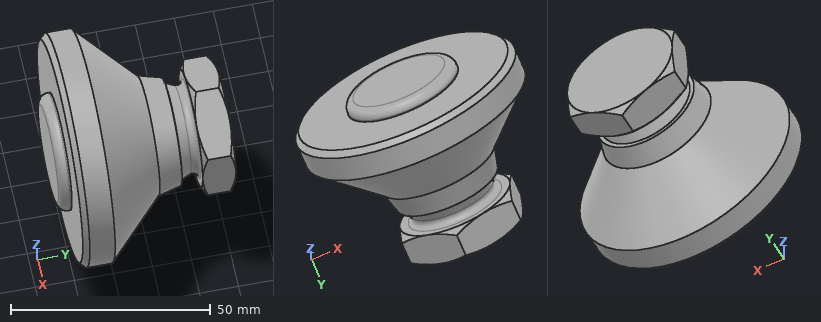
import cadquery as cq
import math

total_length = 45.0

pad_radius = 15.0
pad_depth = 3.0
pad_rounding = 2.5

base_radius = 30.0
base_chamfer = 1.5
rim_top = 11.0
collar_bottom = 25.45
collar_bottom_radius = 15.4
collar_top = 31.45
collar_top_radius = 13.85

stem_bottom_radius = 12.65
neck_start = 34.2
neck_start_radius = 11.4
neck_end_radius = 12.7

nut_height = 8.5
nut_across_flats = 30.0
nut_chamfer_angle = math.radians(30)
nut_bottom = total_length - nut_height


def make_foot():
    """Revolve the pad, base, collar and stem as one profile of (radius, Y)."""
    return (
        cq.Workplane("XY")
        .lineTo(pad_radius - pad_rounding, 0)
        .radiusArc((pad_radius, pad_rounding), -pad_rounding)
        .lineTo(pad_radius, pad_depth)
        .lineTo(base_radius - base_chamfer, pad_depth)
        .lineTo(base_radius, pad_depth + base_chamfer)
        .lineTo(base_radius, rim_top)
        .lineTo(collar_bottom_radius, collar_bottom)
        .lineTo(collar_top_radius, collar_top)
        .lineTo(stem_bottom_radius, collar_top)
        .lineTo(neck_start_radius, neck_start)
        .tangentArcPoint((neck_end_radius, nut_bottom), relative=False)
        .lineTo(0, nut_bottom)
        .close()
        .revolve(360, (0, 0, 0), (0, 1, 0))
    )


def make_nut():
    """Hexagonal prism with its corners turned off conically at both ends."""
    flat_radius = nut_across_flats / 2
    corner_radius = flat_radius / math.cos(math.pi / 6)
    corner_drop = (corner_radius - flat_radius) * math.tan(nut_chamfer_angle)
    prism = (
        cq.Workplane("XZ", origin=(0, total_length, 0))
        .transformed(rotate=(0, 0, 30))
        .polygon(6, 2 * corner_radius)
        .extrude(nut_height)
    )
    turned_blank = (
        cq.Workplane("XY")
        .polyline([
            (0, nut_bottom),
            (flat_radius, nut_bottom),
            (corner_radius, nut_bottom + corner_drop),
            (corner_radius, total_length - corner_drop),
            (flat_radius, total_length),
            (0, total_length),
        ])
        .close()
        .revolve(360, (0, 0, 0), (0, 1, 0))
    )
    return prism.intersect(turned_blank)


result = make_foot().union(make_nut())